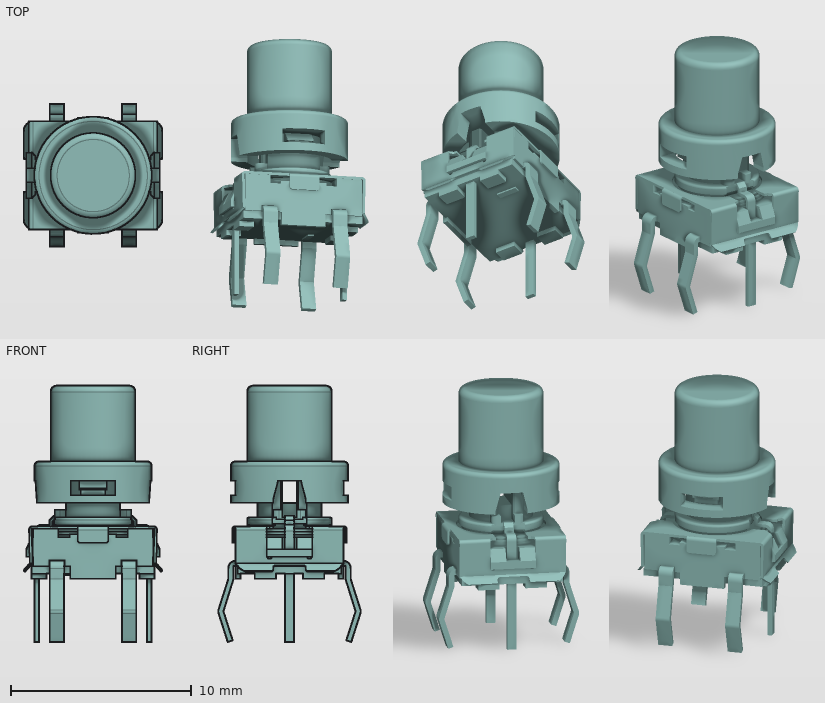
import cadquery as cq
import math


OVERLAP = 0.05

cap_top_z = 10.7
cap_diameter = 4.7
cap_fillet = 0.35
skirt_top_z = 6.5
skirt_bottom_z = 4.2
skirt_diameter = 6.5
skirt_fillet = 0.25
skirt_bore_diameter = cap_diameter
ceiling_z = 5.42
window_width = 2.45
window_bottom_z = 4.64
notch_top_width = 1.27
notch_bottom_width = 1.79
notch_shoulder_z = 4.43

stem_diameter = 3.56
stem_flat_width = 3.0
stem_slot_width = 0.79
stem_slot_floor_z = skirt_bottom_z
stem_slot_chamfer = 0.1
web_thickness = 2.2
barb_width = 1.5
barb_lip_inset = 0.08
barb_root_y = 1.35
barb_reach = 2.3
barb_shoulder_z = 5.02
barb_lip_top_z = 4.93
foot_length = 4.26
foot_width = notch_bottom_width
foot_top_z = 3.83
foot_bottom_z = 3.31
foot_corner_radius = 0.3

collar_diameter = 4.7
collar_top_z = 3.41
collar_bottom_z = 2.97
collar_neck_diameter = 4.4
collar_fillet = 0.14
collar_gap_width = 1.9
collar_gap_x = 2.1
collar_undercut_x = 1.9
collar_undercut_z = 3.04

body_length = 6.66
body_width = 5.96
base_length = 6.82
base_width = 5.7
base_top_z = 0.71
base_bottom_z = 0.29
body_top_z = 2.76
key_width = 2.52
key_thickness = 0.28
leg_notch_clearance = 0.03
pad_length = 0.84
pad_inner_y = 0.74
pad_outer_y = 1.93
locator_outer_x = 1.61
locator_bottom_z = 0.2
ledge_z = 2.31
low_rim_diameter = 5.6
low_rim_top_z = 2.45
rim_diameter = 5.5
rim_top_z = 2.62
inner_rim_diameter = 5.2
opening_width = 3.82
front_step_width = 2.6
front_step_z = 2.46
latch_reach = 3.7
latch_bottom_z = 1.22
latch_edge_z = 1.63
latch_slot_width = 0.79
latch_slot_inner_x = 2.9

cover_length = 7.1
cover_width = 6.0
cover_foot_length = 7.0
cover_top_z = 2.91
cover_bottom_z = 0.85
cover_thickness = 0.15
cover_bend_radius = 0.2
cover_hole_diameter = 5.0
cover_neck_width = 1.8
cover_window_inner_x = 3.2
cover_window_width = 2.52
relief_y = 1.1
relief_radius = 0.12
tab_width = 1.7
tab_outer_y = 3.18
tab_thickness = 0.11
tab_bottom_z = 1.99
tab_corner = 0.17
flap_tip_x = 3.845
flap_bottom_z = 0.39
flap_thickness = 0.1
flap_inner_y = 0.9
flap_outer_y = 2.36
flap_inner_radius = 0.15
flap_bow_share = 0.3

leg_x = 2.0
leg_width = 0.8
leg_thickness = 0.3
leg_top_z = 1.0
leg_outer_y = 3.39
leg_bend_radius = 0.4
leg_kink_z = 0.0
leg_elbow_y = 3.965
leg_elbow_z = -1.8
leg_elbow_radius = 0.3
leg_bottom_z = -3.5
pin_x = 3.11
pin_thickness = 0.26
pin_width = 0.52
arm_width = pin_width
arm_thickness = 0.18
arm_outer_x = 3.2
arm_shelf_z = 3.0
arm_riser_x = 2.41
arm_riser_top_z = 3.25
arm_tip_x = 2.17
arm_bend_radius = 0.35


def block(x0, x1, y0, y1, z0, z1):
    """Axis-aligned box between two corners."""
    return cq.Workplane("XY").box(x1 - x0, y1 - y0, z1 - z0, centered=False).translate((x0, y0, z0))


def centered_block(length, width, z0, z1):
    """Box centred on the Z axis."""
    return block(-length / 2, length / 2, -width / 2, width / 2, z0, z1)


def cylinder(diameter, z0, z1):
    """Cylinder on the Z axis."""
    return cq.Workplane("XY").workplane(offset=z0).circle(diameter / 2).extrude(z1 - z0)


def xz_prism(points, width):
    """Outline in the XZ plane, extruded evenly about Y = 0."""
    return cq.Workplane("XZ").polyline(points).close().extrude(width / 2, both=True)


def yz_prism(points, x0, x1):
    """Outline in the YZ plane, extruded from x0 to x1."""
    return cq.Workplane("YZ").workplane(offset=x0).polyline(points).close().extrude(x1 - x0)


def fillet_edge_at(shape, point, radius):
    """Round the edge whose middle lies nearest to the point."""
    return shape.edges(cq.selectors.NearestToPointSelector(point)).fillet(radius)


def with_x_mirror(shape):
    return shape.union(shape.mirror("YZ"))


def with_y_mirror(shape):
    return shape.union(shape.mirror("XZ"))


def make_cap():
    skirt = (
        cylinder(skirt_diameter, skirt_bottom_z, skirt_top_z)
        .faces(">Z").edges().fillet(skirt_fillet)
        .cut(cylinder(skirt_bore_diameter, skirt_bottom_z, ceiling_z))
    )
    windows = centered_block(window_width, skirt_diameter, window_bottom_z, ceiling_z)
    notch_outline = [
        (-notch_bottom_width / 2, skirt_bottom_z),
        (-notch_bottom_width / 2, notch_shoulder_z),
        (-notch_top_width / 2, ceiling_z),
        (notch_top_width / 2, ceiling_z),
        (notch_bottom_width / 2, notch_shoulder_z),
        (notch_bottom_width / 2, skirt_bottom_z),
    ]
    notches = yz_prism(notch_outline, -skirt_diameter / 2, skirt_diameter / 2)
    button = cylinder(cap_diameter, ceiling_z, cap_top_z).faces(">Z").edges().fillet(cap_fillet)
    return skirt.cut(windows).cut(notches).union(button)


def make_barbs():
    ramp = [(barb_root_y, ceiling_z), (stem_diameter / 2, ceiling_z), (barb_reach, barb_shoulder_z),
            (barb_reach, barb_lip_top_z), (barb_root_y, barb_lip_top_z)]
    barb = yz_prism(ramp, -barb_width / 2, barb_width / 2)
    lip_reach = barb_reach - barb_lip_inset
    lip_half_width = barb_width / 2 - barb_lip_inset
    lip = block(-lip_half_width, lip_half_width, barb_root_y, lip_reach, window_bottom_z, barb_lip_top_z)
    return with_y_mirror(barb.union(lip))


def make_stem():
    shaft = cylinder(stem_diameter, body_top_z, ceiling_z + OVERLAP)
    shaft = shaft.intersect(centered_block(stem_flat_width, stem_diameter, body_top_z, cap_top_z))
    foot = centered_block(foot_length, foot_width, foot_bottom_z, foot_top_z)
    foot = foot.edges("|Z").fillet(foot_corner_radius)
    through_slot = centered_block(foot_length, stem_slot_width, stem_slot_floor_z, ceiling_z)
    lower_slot = block(web_thickness / 2, foot_length, -stem_slot_width / 2, stem_slot_width / 2,
                       collar_top_z, ceiling_z)
    flat_x = stem_flat_width / 2
    mouth = (
        cq.Workplane("XY").workplane(offset=foot_top_z)
        .polyline([(flat_x, -stem_slot_width / 2 - stem_slot_chamfer),
                   (flat_x, stem_slot_width / 2 + stem_slot_chamfer),
                   (flat_x - stem_slot_chamfer, stem_slot_width / 2),
                   (flat_x - stem_slot_chamfer, -stem_slot_width / 2)])
        .close().extrude(ceiling_z - foot_top_z)
    )
    stem = shaft.union(foot).union(make_barbs())
    return stem.cut(through_slot).cut(with_x_mirror(lower_slot)).cut(with_x_mirror(mouth))


def make_collar():
    collar = cylinder(collar_diameter, collar_bottom_z, collar_top_z)
    collar = collar.faces(">Z").edges().fillet(collar_fillet)
    collar = collar.union(cylinder(collar_neck_diameter, body_top_z - OVERLAP, collar_bottom_z))
    gap = block(collar_gap_x, collar_diameter, -collar_gap_width / 2, collar_gap_width / 2,
                body_top_z, collar_top_z)
    undercut = xz_prism([(collar_undercut_x, body_top_z), (collar_gap_x, collar_undercut_z),
                         (collar_diameter, collar_undercut_z), (collar_diameter, body_top_z)],
                        collar_gap_width)
    return collar.cut(with_x_mirror(gap)).cut(with_x_mirror(undercut))


def make_base():
    half_length = base_length / 2
    half_width = body_width / 2
    base = centered_block(body_length, body_width, base_top_z, body_top_z)
    base = base.union(centered_block(base_length, base_width, base_bottom_z, base_top_z))
    notch_half_width = leg_width / 2 + leg_notch_clearance
    leg_notch = block(leg_x - notch_half_width, leg_x + notch_half_width, base_width / 2, half_width,
                      base_top_z, leg_top_z + leg_notch_clearance)
    key = block(-key_width / 2, key_width / 2, half_width - key_thickness, half_width, 0, base_top_z)
    pad = block(half_length - pad_length, half_length, pad_inner_y, pad_outer_y, 0, base_top_z)
    locator = block(-locator_outer_x, -key_width / 2, -pad_outer_y, -pad_inner_y,
                    locator_bottom_z, base_top_z)
    base = base.cut(with_x_mirror(with_y_mirror(leg_notch)))
    return base.union(with_y_mirror(key)).union(with_x_mirror(with_y_mirror(pad))).union(locator)


def make_openings():
    """Space under the cover at all four sides, around the stepped round rim."""
    sides = centered_block(cover_length, opening_width, ledge_z, cover_top_z)
    fronts = centered_block(opening_width, body_width, ledge_z, cover_top_z)
    front_step = centered_block(front_step_width, body_width, ledge_z, front_step_z)
    low_rim = cylinder(low_rim_diameter, ledge_z, low_rim_top_z)
    rim = cylinder(rim_diameter, ledge_z, rim_top_z)
    inner_rim = cylinder(inner_rim_diameter, ledge_z, cover_top_z)
    return sides.union(fronts.cut(front_step)).cut(low_rim).cut(rim).cut(inner_rim)


def make_latches():
    """Ramped catches that hold the cover windows."""
    inner_x = latch_slot_inner_x
    ramp_top_x = body_length / 2 + OVERLAP
    outline = [(inner_x, latch_bottom_z), (latch_reach, latch_bottom_z),
               (latch_reach, latch_edge_z), (ramp_top_x, ledge_z), (inner_x, ledge_z)]
    return with_x_mirror(xz_prism(outline, cover_window_width))


def make_housing():
    arm_channel = block(latch_slot_inner_x, latch_reach, -latch_slot_width / 2, latch_slot_width / 2,
                        latch_edge_z, cover_top_z)
    housing = make_base().cut(make_openings()).union(make_latches())
    return housing.cut(with_x_mirror(arm_channel))


def make_cover_shell():
    top_x = cover_length / 2
    foot_x = cover_foot_length / 2
    inner_z = cover_top_z - cover_thickness
    outer = xz_prism([(-foot_x, cover_bottom_z), (-top_x, cover_top_z),
                      (top_x, cover_top_z), (foot_x, cover_bottom_z)], cover_width)
    outer = outer.faces(">Z").edges("|Y").fillet(cover_bend_radius)
    inner = xz_prism([(-foot_x + cover_thickness, cover_bottom_z), (-top_x + cover_thickness, inner_z),
                      (top_x - cover_thickness, inner_z), (foot_x - cover_thickness, cover_bottom_z)],
                     cover_width)
    return outer.cut(inner)


def make_cover_cutouts():
    hole = cylinder(cover_hole_diameter, body_top_z, cover_top_z)
    neck = centered_block(cover_length, cover_neck_width, body_top_z, cover_top_z)
    window = block(cover_window_inner_x, cover_length, -cover_window_width / 2, cover_window_width / 2,
                   latch_bottom_z, cover_top_z)
    neck_corner = (cover_window_width - cover_neck_width) / 2
    window = window.edges("|Z and <X").chamfer(neck_corner / 2)
    reliefs = (
        cq.Workplane("YZ").workplane(offset=body_length / 2)
        .pushPoints([(-relief_y, latch_bottom_z), (relief_y, latch_bottom_z)])
        .circle(relief_radius).extrude(cover_length)
    )
    return hole.union(neck).union(with_x_mirror(window.union(reliefs)))


def make_cover_tabs():
    """Tabs folded down over the front and back walls."""
    root_y = cover_hole_diameter / 2
    plate_bottom = cover_top_z - tab_thickness
    half_width = tab_width / 2
    plate = block(-half_width, half_width, root_y, tab_outer_y, tab_bottom_z, cover_top_z)
    under = block(-half_width, half_width, root_y, tab_outer_y - tab_thickness, tab_bottom_z, plate_bottom)
    tab = plate.edges("|X and >Y and >Z").fillet(cover_bend_radius).cut(under)
    tab = tab.edges("|Y and <Z").fillet(tab_corner)
    return with_y_mirror(tab)


def make_cover_flaps():
    """Retaining flaps bent outward at 45 degrees under the side walls."""
    drop = cover_bottom_z - flap_bottom_z
    slant = flap_thickness / math.sqrt(2)
    bend_x = flap_tip_x - drop + slant
    root_z = cover_bottom_z + OVERLAP
    sheet = xz_prism([(bend_x - 2 * slant, root_z), (bend_x, root_z),
                      (flap_tip_x, flap_bottom_z + slant), (flap_tip_x - slant, flap_bottom_z)],
                     cover_width)
    half_width = cover_width / 2
    bow = flap_outer_y + (half_width - flap_outer_y) / 2
    bow_z = flap_bottom_z + drop * flap_bow_share
    outline = (
        cq.Workplane("YZ")
        .moveTo(-half_width, root_z)
        .threePointArc((-bow, bow_z), (-flap_outer_y, flap_bottom_z))
        .lineTo(flap_outer_y, flap_bottom_z)
        .threePointArc((bow, bow_z), (half_width, root_z))
        .close().extrude(flap_tip_x + OVERLAP)
    )
    gap = block(0, flap_tip_x + OVERLAP, -flap_inner_y, flap_inner_y,
                flap_bottom_z - drop, cover_bottom_z - flap_thickness)
    gap = gap.edges("|X and >Z").fillet(flap_inner_radius)
    outline = outline.cut(gap)
    for side in (-1, 1):
        corner = (flap_tip_x / 2, side * flap_inner_y, flap_bottom_z)
        outline = fillet_edge_at(outline, corner, flap_inner_radius)
    return with_x_mirror(sheet.intersect(outline))


def make_cover():
    return make_cover_shell().cut(make_cover_cutouts()).union(make_cover_tabs()).union(make_cover_flaps())


def make_legs():
    """Four bent solder legs leaving the front and back walls."""
    root_y = body_width / 2 - key_thickness
    slope = math.atan2(leg_elbow_y - leg_outer_y, leg_kink_z - leg_elbow_z)
    level_thickness = leg_thickness / math.cos(slope)
    end_y = leg_elbow_y - (leg_elbow_z - leg_bottom_z) * math.tan(slope)
    inner_y = leg_outer_y - leg_thickness
    outline = [
        (root_y, leg_top_z),
        (leg_outer_y, leg_top_z),
        (leg_outer_y, leg_kink_z),
        (leg_elbow_y, leg_elbow_z),
        (end_y, leg_bottom_z),
        (end_y - leg_thickness * math.cos(slope), leg_bottom_z + leg_thickness * math.sin(slope)),
        (leg_elbow_y - level_thickness, leg_elbow_z),
        (inner_y, leg_kink_z),
        (inner_y, leg_top_z - leg_thickness),
        (root_y, leg_top_z - leg_thickness),
    ]
    leg = yz_prism(outline, leg_x - leg_width / 2, leg_x + leg_width / 2)
    leg = fillet_edge_at(leg, (leg_x, leg_outer_y, leg_top_z), leg_bend_radius)
    leg = fillet_edge_at(leg, (leg_x, leg_elbow_y, leg_elbow_z), leg_elbow_radius)
    return with_x_mirror(with_y_mirror(leg))


def make_pins():
    pin = block(pin_x - pin_thickness / 2, pin_x + pin_thickness / 2, -pin_width / 2, pin_width / 2,
                leg_bottom_z, base_top_z)
    return with_x_mirror(pin)


def make_arms():
    """S-shaped spring arms rising from the latch channels onto the stem foot."""
    t = arm_thickness
    tip_rise = arm_riser_x - arm_tip_x
    lean = t * math.tan(math.pi / 8)
    outline = [
        (arm_outer_x, latch_edge_z - OVERLAP),
        (arm_outer_x, arm_shelf_z),
        (arm_riser_x, arm_shelf_z),
        (arm_riser_x, arm_riser_top_z),
        (arm_tip_x, arm_riser_top_z + tip_rise),
        (arm_tip_x - t / math.sqrt(2), arm_riser_top_z + tip_rise - t / math.sqrt(2)),
        (arm_riser_x - t, arm_riser_top_z - lean),
        (arm_riser_x - t, arm_shelf_z - t),
        (arm_outer_x - t, arm_shelf_z - t),
        (arm_outer_x - t, latch_edge_z - OVERLAP),
    ]
    arm = xz_prism(outline, arm_width)
    arm = fillet_edge_at(arm, (arm_outer_x, 0, arm_shelf_z), arm_bend_radius)
    arm = fillet_edge_at(arm, (arm_outer_x - t, 0, arm_shelf_z - t), arm_bend_radius - t)
    return with_x_mirror(arm)


result = make_housing()
for piece in (make_collar(), make_stem(), make_cap(), make_cover(), make_legs(), make_pins(), make_arms()):
    result = result.union(piece)